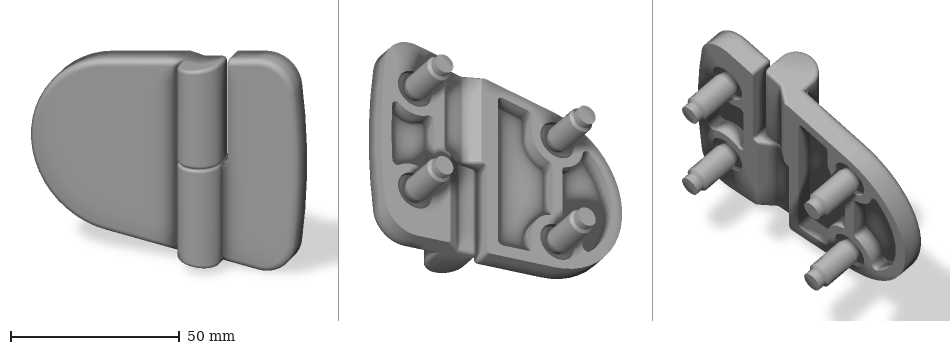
import cadquery as cq
import math


HINGE_TURN = 10.0
OVERALL_LENGTH = 84.55

FRONT = 3.1
THICKNESS = 8.0
BACK = FRONT + THICKNESS
HINGE_SIDE = -7.4
TAPER = math.radians(8)
TAPER_RISE = math.tan(TAPER)
HALF_HEIGHT_AT_AXIS = 31.3
RIM_ROUND = 2.0
EDGE_ROUND = 1.0
NOTCH_ROUND = 0.85

LEFT_TIP = -54.9
LEFT_MIDDLE_Z = -0.4

TURN_COS = math.cos(math.radians(HINGE_TURN))
TURN_SIN = math.sin(math.radians(HINGE_TURN))
EDGE_OVERHANG = (THICKNESS - RIM_ROUND) * TURN_SIN + RIM_ROUND * (1 - TURN_COS)
RIGHT_TIP = LEFT_TIP + (OVERALL_LENGTH - EDGE_OVERHANG) / TURN_COS
RIGHT_BOW_R = 202.9
RIGHT_CORNER_R = 10.0

KNUCKLE_R = 6.4
KNUCKLE_BACK = 7.8
KNUCKLE_CORNER_R = 1.95
SLOPE_TOP = -5.4
SLOPE_FOOT = -0.5
HOLLOW_R = 1.5
JOINT_GAP = 0.25
ARM_END = JOINT_GAP / 2

POCKET_DEPTH = 5.0
WALL = 3.8
WEB = 3.55
POCKET_CORNER_R = 1.5

LEFT_STUD_X = -32.1
RIGHT_STUD_X = 17.8
STUD_OFFSET_Z = 18.0
BOSS_R = 9.05
RECESS_D = 12.0
RECESS_FLOOR = BACK - 1.5
STUD_D = 7.9
STUD_ROOT_D = 6.5
STUD_TIP_D = 6.2
STUD_END = 27.3
TIP_START = STUD_END - 2.45
SHOULDER = TIP_START - (STUD_D - STUD_TIP_D) / 2
RUNOUT_END = BACK + 1.1

REACH = 126.8
TOLERANCE = 0.01



def close_to(a, b):
    return abs(a - b) < TOLERANCE


def edges_where(body, test):
    return body.newObject([edge for edge in body.edges().vals() if test(edge)])


def at_xy(edge, x, y):
    middle = edge.Center()
    return close_to(middle.x, x) and close_to(middle.y, y)


def end_z(x, lean):
    """Height of the tapered upper side."""
    return HALF_HEIGHT_AT_AXIS + lean * TAPER_RISE * x


def facing_front(y):
    return cq.Workplane("XZ", origin=(0, y, 0))


def tapered_band(lean, bottom, drop):
    """Everything near the axis from `bottom` up to `drop` below the tapered upper side."""
    side = 2 * HINGE_SIDE
    return (
        facing_front(-REACH / 2)
        .moveTo(side, bottom)
        .lineTo(-side, bottom)
        .lineTo(-side, end_z(-side, lean) - drop)
        .lineTo(side, end_z(side, lean) - drop)
        .close()
        .extrude(-REACH)
    )



def left_plate():
    half_at_axis = HALF_HEIGHT_AT_AXIS - LEFT_MIDDLE_Z
    arc_r = (half_at_axis + TAPER_RISE * LEFT_TIP) / (1 / math.cos(TAPER) - TAPER_RISE)
    tangent_x = LEFT_TIP + arc_r * (1 - math.sin(TAPER))
    tangent_z = arc_r * math.cos(TAPER)
    corner_z = half_at_axis + TAPER_RISE * HINGE_SIDE
    return (
        facing_front(FRONT)
        .moveTo(HINGE_SIDE, LEFT_MIDDLE_Z + corner_z)
        .lineTo(tangent_x, LEFT_MIDDLE_Z + tangent_z)
        .threePointArc((LEFT_TIP, LEFT_MIDDLE_Z), (tangent_x, LEFT_MIDDLE_Z - tangent_z))
        .lineTo(HINGE_SIDE, LEFT_MIDDLE_Z - corner_z)
        .close()
        .extrude(-THICKNESS)
    )


def right_plate():
    half_chord = end_z(-RIGHT_TIP, -1)
    corner_x = -RIGHT_TIP + RIGHT_BOW_R - math.sqrt(RIGHT_BOW_R**2 - half_chord**2)
    corner_z = end_z(corner_x, -1)
    sharp = (
        facing_front(FRONT)
        .moveTo(HINGE_SIDE, end_z(HINGE_SIDE, -1))
        .lineTo(corner_x, corner_z)
        .threePointArc((-RIGHT_TIP, 0), (corner_x, -corner_z))
        .lineTo(HINGE_SIDE, -end_z(HINGE_SIDE, -1))
        .close()
        .extrude(-THICKNESS)
    )
    return sharp.edges("|Y and (not >X)").fillet(RIGHT_CORNER_R)



def arm(lean):
    """Knuckle and the arm that joins it to the plate, above the joint."""
    profile = (
        cq.Workplane("XY")
        .moveTo(HINGE_SIDE, FRONT)
        .lineTo(-KNUCKLE_R, FRONT)
        .lineTo(-KNUCKLE_R, 0)
        .threePointArc((0, -KNUCKLE_R), (KNUCKLE_R, 0))
        .lineTo(KNUCKLE_R, KNUCKLE_BACK)
        .lineTo(SLOPE_FOOT, KNUCKLE_BACK)
        .lineTo(SLOPE_TOP, BACK)
        .lineTo(HINGE_SIDE, BACK)
        .close()
    )
    body = profile.extrude(REACH)
    body = edges_where(body.edges("|Z"), lambda e: at_xy(e, KNUCKLE_R, KNUCKLE_BACK)).fillet(KNUCKLE_CORNER_R)
    body = edges_where(body.edges("|Z"), lambda e: at_xy(e, SLOPE_FOOT, KNUCKLE_BACK)).fillet(EDGE_ROUND)
    return body.intersect(tapered_band(lean, ARM_END, 0))


def hollow(lean):
    """Concave fillet between the show face and the knuckle, clear of the rounded ends."""
    bulge = HOLLOW_R * (1 - math.sqrt(0.5))
    profile = (
        cq.Workplane("XY")
        .moveTo(-KNUCKLE_R - HOLLOW_R, FRONT)
        .threePointArc((-KNUCKLE_R - bulge, FRONT - bulge), (-KNUCKLE_R, FRONT - HOLLOW_R))
        .lineTo(-KNUCKLE_R, FRONT)
        .close()
    )
    return profile.extrude(REACH).intersect(tapered_band(lean, ARM_END + EDGE_ROUND, RIM_ROUND))



def on_rim(edge):
    middle = edge.Center()
    return close_to(middle.y, FRONT) and middle.x < HINGE_SIDE - RIM_ROUND


def on_free_knuckle_side(edge):
    """Edges of the knuckle and slope, without those inside or along the plate."""
    middle = edge.Center()
    along_back = close_to(middle.y, BACK)
    inside_plate = close_to(middle.x, -KNUCKLE_R) and middle.y > FRONT
    return middle.x > -KNUCKLE_R - TOLERANCE and not along_back and not inside_plate


def on_top_end(edge, lean):
    points = [edge.positionAt(t) for t in (0, 0.5, 1)]
    in_end_face = all(close_to(p.z, end_z(p.x, lean)) for p in points)
    return in_end_face and on_free_knuckle_side(edge)


def on_joint_end(edge):
    box = edge.BoundingBox()
    in_end_face = close_to(box.zmin, ARM_END) and close_to(box.zmax, ARM_END)
    return in_end_face and on_free_knuckle_side(edge)


def on_hinge_side(edge):
    """Front and lower edges of the plate's end face below the joint."""
    box = edge.BoundingBox()
    in_end_face = close_to(box.xmin, HINGE_SIDE) and close_to(box.xmax, HINGE_SIDE)
    return in_end_face and box.ymin < BACK - TOLERANCE and box.zmin < -EDGE_ROUND


def in_notch(edge):
    middle = edge.Center()
    return close_to(middle.x, HINGE_SIDE) and close_to(middle.z, ARM_END)


def round_leaf(body, lean):
    body = edges_where(body, on_rim).fillet(RIM_ROUND)
    body = edges_where(body, lambda e: on_top_end(e, lean)).fillet(EDGE_ROUND)
    body = edges_where(body, lambda e: on_hinge_side(e) or on_joint_end(e)).fillet(EDGE_ROUND)
    return edges_where(body.edges("|Y"), in_notch).fillet(NOTCH_ROUND)



def pocket(plate, stud_x, middle_z, has_web):
    outline = plate.faces("<Y").wires().val()
    body = (
        facing_front(BACK - POCKET_DEPTH)
        .newObject([outline.translate(cq.Vector(0, THICKNESS - POCKET_DEPTH, 0))])
        .toPending()
        .offset2D(-WALL, "intersection")
        .extrude(-POCKET_DEPTH)
    )
    for up in (-1, 1):
        stud_z = middle_z + up * STUD_OFFSET_Z
        boss = facing_front(BACK).center(stud_x, stud_z).circle(BOSS_R).extrude(POCKET_DEPTH)
        block = (
            facing_front(BACK)
            .center(stud_x, stud_z + up * REACH / 2)
            .rect(2 * BOSS_R, REACH)
            .extrude(POCKET_DEPTH)
        )
        body = body.cut(boss).cut(block)
    if has_web:
        web = facing_front(BACK).center(stud_x, middle_z).rect(WEB, REACH).extrude(POCKET_DEPTH)
        body = body.cut(web)
    return body.edges("|Y").fillet(POCKET_CORNER_R)


def stud():
    return (
        cq.Workplane("XY")
        .moveTo(0, RECESS_FLOOR)
        .lineTo(STUD_ROOT_D / 2, RECESS_FLOOR)
        .lineTo(STUD_D / 2, RUNOUT_END)
        .lineTo(STUD_D / 2, SHOULDER)
        .lineTo(STUD_TIP_D / 2, TIP_START)
        .lineTo(STUD_TIP_D / 2, STUD_END)
        .lineTo(0, STUD_END)
        .close()
        .revolve(360, (0, 0), (0, 1))
    )


def add_studs(body, stud_x, middle_z):
    for up in (-1, 1):
        stud_z = middle_z + up * STUD_OFFSET_Z
        recess = facing_front(RECESS_FLOOR).center(stud_x, stud_z).circle(RECESS_D / 2).extrude(-THICKNESS)
        body = body.cut(recess).union(stud().translate((stud_x, 0, stud_z)))
    return body



def leaf(plate, lean, stud_x, middle_z, has_web):
    body = round_leaf(plate.union(arm(lean)), lean).union(hollow(lean))
    body = body.cut(pocket(plate, stud_x, middle_z, has_web))
    return add_studs(body, stud_x, middle_z)


def turn_hinge(body):
    return body.rotate((0, 0, 0), (0, 0, 1), HINGE_TURN)


left_leaf = turn_hinge(leaf(left_plate(), 1, LEFT_STUD_X, LEFT_MIDDLE_Z, True))

right_leaf_unturned = leaf(right_plate(), -1, -RIGHT_STUD_X, 0, False)
right_leaf = turn_hinge(right_leaf_unturned.rotate((0, 0, 0), (0, 1, 0), 180))

result = cq.Compound.makeCompound([left_leaf.val(), right_leaf.val()])